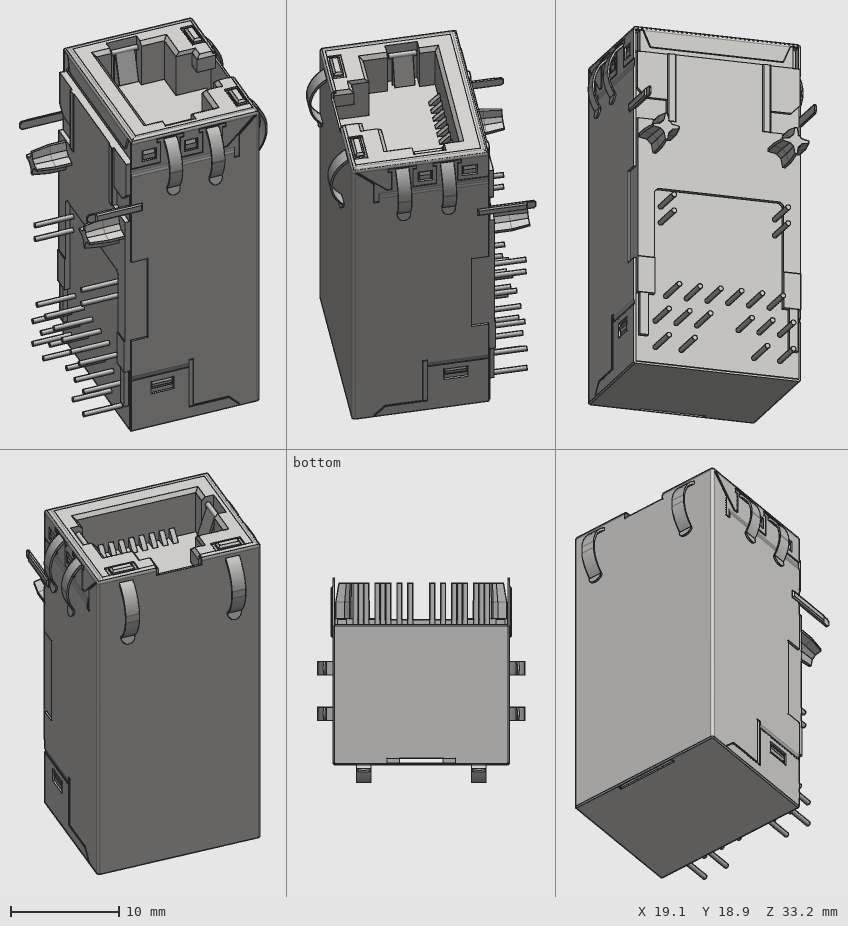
import cadquery as cq
import math


SHIELD_HALF_W = 8.15
SHIELD_DEPTH = 12.85
FACE_Z = 32.95
SHEET = 0.2
RIM_SIDE = 0.65
FACE_BEND = 0.43
RIM_BACK = FACE_BEND
BODY_BEND = 0.25
FLAP_TOP_HALF_W = 7.2
FLAP_LOW_HALF_W = 6.5
FLAP_TOP_Z = 32.57
FLAP_LOW_Z = 30.98
KEY_SLOT_HALF_W = 2.25
KEY_SLOT_Z = 32.05
SEAM_DEPTH = 0.1
SEAM_TOP_Z = 32.45

INNER_HALF_W = SHIELD_HALF_W - SHEET
INNER_BACK = SHIELD_DEPTH - SHEET
FLOOR_Y = -0.13
SLAB_Y = -0.55
RIB_Y = -0.65
LEDGE_Z = 30.3
CAVITY_FLOOR_Z = 28.2
KEY_TAB_LENGTH = 1.82
MOUTH_CHAMFER = 0.35
CHANNEL_Y = 12.25
KEY_HALF_W = 3.15
LATCH_HALF_W = 2.0
PIN_SPAN = 12.17
PITCH = PIN_SPAN / 12
TIP_Y = -3.95

PIPE_X = 5.3
PIPE_W = 2.25
PIPE_Y = 11.78
PIPE_D = 0.93
PIPE_TOP_Z = 33.17
PIPE_LENGTH = 3.32
PIPE_CHAMFER = 0.2


def block(x0, x1, y0, y1, z0, z1):
    """Box given by its limits on each axis."""
    return cq.Workplane("XY").box(x1 - x0, y1 - y0, z1 - z0, centered=False).translate((x0, y0, z0))


def mirrored(shape):
    """Shape together with its mirror image across X = 0."""
    return shape.union(shape.mirror("YZ"))


def side_prism(points, x0, x1):
    """Outline in (Y, Z) extruded along X from x0 to x1."""
    return cq.Workplane("YZ").workplane(offset=x0).polyline(points).close().extrude(x1 - x0)


def front_prism(points, y0, y1):
    """Outline in (X, Z) extruded along Y from y0 to y1."""
    return cq.Workplane("XZ").workplane(offset=-y1).polyline(points).close().extrude(y1 - y0)


CATCH_WINDOWS = [(5.3, 6.65, 30.32, 31.5), (1.05, 2.52, 30.32, 31.5)]
LOW_WINDOW = (1.95, 4.25, 3.78, 5.15)
NOTCH = (0.0, 1.63, 10.28, 19.2)

SIDE_SPRING_YS = (3.9, 8.13)
SIDE_SPRING_W = 1.25
SPRING_TOP_Z = 32.25
BACK_SPRING_W = 1.35
SIDE_REACH = 1.4
BACK_REACH = 1.63


def spring(reach, kink, width, top_z, bend_z, kink_z, tip_z):
    """Bowed contact finger on a wall at x = 0, bulging toward +X and centred on Y = 0.

    It returns to distance kink from the wall, then turns slightly outward to its tip.
    """
    root = -SHEET / 2
    tip = kink + 0.15
    thickness = 0.15
    profile = (
        cq.Workplane("XZ").workplane(offset=-width / 2)
        .moveTo(root, top_z)
        .threePointArc((reach, bend_z), (kink, kink_z))
        .lineTo(tip, tip_z)
        .lineTo(tip - thickness, tip_z)
        .lineTo(kink - thickness, kink_z)
        .threePointArc((reach - thickness, bend_z), (root, top_z - 2 * thickness))
        .close()
        .extrude(width)
    )
    round_r = width / 2
    rounded = (
        cq.Workplane("YZ").workplane(offset=root)
        .moveTo(-round_r, top_z)
        .lineTo(-round_r, tip_z + round_r)
        .threePointArc((0, tip_z), (round_r, tip_z + round_r))
        .lineTo(round_r, top_z)
        .close()
        .extrude(reach - root)
    )
    return profile.intersect(rounded)


def shield_shell():
    shell = block(-SHIELD_HALF_W, SHIELD_HALF_W, 0, SHIELD_DEPTH, 0, FACE_Z)
    shell = shell.faces(">Z").edges().fillet(FACE_BEND)
    shell = shell.faces(">Y").edges("|Z").fillet(BODY_BEND)
    shell = shell.faces("<Z").edges("not <Y").chamfer(BODY_BEND / 2)
    shell = shell.cut(block(-INNER_HALF_W, INNER_HALF_W, SHEET, INNER_BACK, SHEET, FACE_Z - SHEET))
    opening_half_w = SHIELD_HALF_W - RIM_SIDE
    shell = shell.cut(block(-opening_half_w, opening_half_w, RIM_SIDE, SHIELD_DEPTH - RIM_BACK,
                            CAVITY_FLOOR_Z, FACE_Z))
    flap = front_prism([(-FLAP_TOP_HALF_W, FLAP_TOP_Z), (FLAP_TOP_HALF_W, FLAP_TOP_Z),
                        (FLAP_LOW_HALF_W, FLAP_LOW_Z), (-FLAP_LOW_HALF_W, FLAP_LOW_Z)], 0, SHEET)
    shell = shell.cut(block(-INNER_HALF_W, INNER_HALF_W, 0, SHEET, SHEET, FLAP_TOP_Z).cut(flap))
    shell = shell.cut(block(-KEY_SLOT_HALF_W, KEY_SLOT_HALF_W, SHIELD_DEPTH - RIM_SIDE, SHIELD_DEPTH,
                            KEY_SLOT_Z, FACE_Z))
    return shell.cut(block(-KEY_HALF_W, KEY_HALF_W, CHANNEL_Y, INNER_BACK, 0, SHEET))


def side_openings():
    """Windows and notch through the -X side wall."""
    x0, x1 = -SHIELD_HALF_W, -INNER_HALF_W
    cuts = block(x0, x1, *NOTCH)
    for window in (*CATCH_WINDOWS, LOW_WINDOW):
        cuts = cuts.union(block(x0, x1, *window))
    return cuts


def side_seams():
    """Shallow grooves around the folded-over panels on the -X side wall."""
    x0, x1 = -SHIELD_HALF_W, -SHIELD_HALF_W + SEAM_DEPTH
    panel_z, jog_z, band_low = 29.72, 29.35, 28.82
    slot_front, slot_back = 10.3, 10.8
    seams = front_prism([(x0, panel_z), (x1, panel_z), (x1, jog_z),
                         (x1 - 0.03, 29.1), (x0, band_low)], 0, slot_front)
    seams = seams.union(side_prism([(slot_back, 28.3), (slot_back, 30.75), (12.47, SEAM_TOP_Z),
                                    (12.27, SEAM_TOP_Z), (9.6, panel_z), (slot_front, panel_z),
                                    (slot_front, 28.3)], x0, x1))
    slot_half_w = SIDE_SPRING_W / 2 + 0.35
    flare_half_w = slot_half_w + 0.33
    flare_z = 32.0
    for y in SIDE_SPRING_YS:
        seams = seams.union(block(x0, x1, y - slot_half_w, y + slot_half_w, jog_z, SEAM_TOP_Z))
        seams = seams.union(block(x0, x1, y - flare_half_w, y + flare_half_w, flare_z, SEAM_TOP_Z))
    end_front, end_back = 5.77, 6.2
    end_band_low, end_band_high = 5.77, 6.25
    seams = seams.union(front_prism([(x0, end_band_low), (x1, end_band_low), (x1 - 0.03, 6.0),
                                     (x0, end_band_high)], 0, end_front))
    foot_z = 1.25
    seams = seams.union(block(x0, x1, end_front, end_back, foot_z, 6.57))
    thin = 0.1
    corner_y = 9.75
    edge_y, edge_z = 10.78, 0.3
    seams = seams.union(block(x0, x1, end_back, corner_y, foot_z, foot_z + thin))
    return seams.union(side_prism([(corner_y, foot_z), (corner_y, foot_z + thin),
                                   (edge_y, edge_z), (edge_y - thin, edge_z)], x0, x1))


def board_tail():
    """Board lock on the -X wall: thin blade with a thicker bevelled pad."""
    blade_inner = -8.0
    pad_outer = -8.33
    tip_y, pad_tip_y, pad_root_y = -4.4, -3.6, 1.05
    z0, z1 = 24.8, 25.65
    blade = block(-SHIELD_HALF_W, blade_inner, tip_y, 0, z0, z1).edges("<Y and |X").chamfer(0.2)
    pad = block(pad_outer, -SHIELD_HALF_W, pad_tip_y, pad_root_y, z0, z1).faces("<X").edges().chamfer(0.13)
    return blade.union(pad)


def make_shield():
    shield = shield_shell()
    shield = shield.cut(mirrored(side_openings().union(side_seams())))
    shield = shield.union(mirrored(board_tail()))
    side_spring = spring(SIDE_REACH, kink=0.73, width=SIDE_SPRING_W, top_z=SPRING_TOP_Z,
                         bend_z=29.35, kink_z=27.2, tip_z=26.37)
    for y in SIDE_SPRING_YS:
        shield = shield.union(mirrored(side_spring.translate((SHIELD_HALF_W, y, 0))))
    back_spring = spring(BACK_REACH, kink=0.5, width=BACK_SPRING_W, top_z=SPRING_TOP_Z,
                         bend_z=29.42, kink_z=26.35, tip_z=25.57)
    back_spring = back_spring.rotate((0, 0, 0), (0, 0, 1), 90)
    return shield.union(mirrored(back_spring.translate((PIPE_X, SHIELD_DEPTH, 0))))


CAVITY_HALF_W = 5.95
CAVITY_LOW_Y = 2.4
SHOULDER_Y = 9.15
KEY_Y = 10.78


def mouth_outline(grow, step_grow, z):
    """Stepped plug outline at height z; grow widens it all round, step_grow at the key steps."""
    half = [
        (CAVITY_HALF_W + grow, CAVITY_LOW_Y - grow),
        (CAVITY_HALF_W + grow, SHOULDER_Y + grow),
        (KEY_HALF_W + step_grow, SHOULDER_Y + grow),
        (KEY_HALF_W + step_grow, KEY_Y + grow),
        (LATCH_HALF_W + 2 * step_grow, KEY_Y + grow),
        (LATCH_HALF_W + 2 * step_grow, INNER_BACK),
    ]
    points = half + [(-x, y) for x, y in reversed(half)]
    return cq.Wire.makePolygon([cq.Vector(x, y, z) for x, y in points], close=True)


def plug_cavity():
    mouth = mouth_outline(0, 0, FACE_Z)
    chamfer_wires = [mouth_outline(0, 0, FACE_Z - MOUTH_CHAMFER), mouth_outline(MOUTH_CHAMFER, 0.13, FACE_Z)]
    depth = FACE_Z - CAVITY_FLOOR_Z
    cavity = cq.Workplane(cq.Solid.extrudeLinear(mouth, [], cq.Vector(0, 0, -depth)))
    cavity = cavity.union(cq.Workplane(cq.Solid.makeLoft(chamfer_wires, True)))
    return cavity.union(block(-KEY_HALF_W, KEY_HALF_W, SHOULDER_Y, INNER_BACK,
                              CAVITY_FLOOR_Z, FACE_Z - KEY_TAB_LENGTH))


def latch_slot():
    """Pocket in the -X cavity wall around the inner spring."""
    slot_outer_x = -7.13
    low_y, high_y = 3.85, 6.85
    return block(slot_outer_x, -CAVITY_HALF_W, low_y, high_y, CAVITY_FLOOR_Z, FACE_Z)


def inner_spring():
    """Folded finger standing on the -X pocket floor and leaning into the cavity."""
    leg_x, tip_x = -6.75, -5.25
    fold_r = 0.25
    fold_z = 32.17
    tip_z = 29.2
    thickness = 0.15
    y0, y1 = 4.4, 6.3
    wing = 0.35
    fold_x = leg_x + fold_r
    finger = block(leg_x, leg_x + thickness, y0, y1, CAVITY_FLOOR_Z, fold_z)
    finger = finger.union(front_prism([(fold_x, fold_z), (fold_x + fold_r, fold_z),
                                       (tip_x, tip_z), (tip_x - thickness, tip_z)], y0, y1))
    fold = cq.Workplane("XZ").center(fold_x, fold_z).circle(fold_r).extrude(y1 - y0 + 2 * wing)
    return finger.union(fold.translate((0, y1 + wing, 0)))


def contacts():
    """Eight sloped contact ends against the board-side cavity wall."""
    width, rise = 0.5, 1.03
    wedge = side_prism([(CAVITY_LOW_Y, CAVITY_FLOOR_Z), (CAVITY_LOW_Y + rise, CAVITY_FLOOR_Z),
                        (CAVITY_LOW_Y, CAVITY_FLOOR_Z + rise)], -width / 2, width / 2)
    count = 8
    row = cq.Workplane("XY")
    for i in range(count):
        row = row.add(wedge.translate(((i - (count - 1) / 2) * PITCH, 0, 0)))
    return row.combine()


def board_side_slab():
    """Stepped board side of the housing."""
    recess_half_w, recess_top_z = 6.3, 17.08
    pad_low_z, pad_high_z = 6.8, NOTCH[2]
    pocket_low_z = 23.75
    rib_inner, rib_outer = 4.25, 5.05
    slab = block(-INNER_HALF_W, INNER_HALF_W, SLAB_Y, SHEET, pad_low_z, LEDGE_Z)
    recess = block(-recess_half_w, recess_half_w, SLAB_Y, FLOOR_Y, pad_low_z, recess_top_z)
    slab = slab.cut(recess.edges(">Z and |Y").chamfer(0.33))
    slab = slab.union(block(-INNER_HALF_W, INNER_HALF_W, FLOOR_Y, SHEET, SHEET, pad_low_z))
    slab = slab.cut(mirrored(block(-INNER_HALF_W, -rib_outer, SLAB_Y, FLOOR_Y, pocket_low_z, LEDGE_Z)))
    pad_y, pad_z, corner = -0.45, 25.87, 0.85
    pad = front_prism([(-INNER_HALF_W, LEDGE_Z), (-rib_outer, LEDGE_Z), (-rib_outer, pad_z),
                       (-INNER_HALF_W + corner, pad_z), (-INNER_HALF_W, pad_z + corner)], pad_y, FLOOR_Y)
    rib = block(-rib_outer, -rib_inner, RIB_Y, SLAB_Y, pocket_low_z, LEDGE_Z).edges("<Y and |Z").chamfer(0.083)
    side_pad = block(-INNER_HALF_W, -recess_half_w, RIB_Y, SLAB_Y, pad_low_z, pad_high_z)
    strip_outer, strip_inner, strip_low_z = 7.73, 6.9, 2.72
    low_strip = block(-strip_outer, -strip_inner, SLAB_Y, FLOOR_Y, strip_low_z, pad_low_z)
    for feature in (pad, rib, side_pad, low_strip):
        slab = slab.union(mirrored(feature))
    return slab


PEG_X = 6.35
PEG_Z = 22.02


def star_wire(scale, y):
    """Four-pointed star with blunt points and three flats between neighbours, at depth y."""
    tip, blunt = 4.7 * scale, 0.4 * scale
    waist_far, waist_near = 2.2 * scale, 0.9 * scale
    corner = [(tip, blunt), (waist_far, waist_near), (waist_near, waist_far), (blunt, tip)]
    points = []
    for quarter in range(4):
        c, s = math.cos(quarter * math.pi / 2), math.sin(quarter * math.pi / 2)
        points += [cq.Vector(u * c - v * s, y, u * s + v * c) for u, v in corner]
    return cq.Wire.makePolygon(points, close=True)


def peg():
    """Star-section locating peg, tapered over its outer half."""
    taper_y = -2.2
    end_scale = 0.27
    base = cq.Workplane(cq.Solid.extrudeLinear(star_wire(0.33, SLAB_Y), [], cq.Vector(0, taper_y - SLAB_Y, 0)))
    end = cq.Solid.makeLoft([star_wire(0.33, taper_y), star_wire(end_scale, TIP_Y)], True)
    return base.union(cq.Workplane(end)).translate((-PEG_X, 0, PEG_Z))


PIN_DIAMETER = 0.45
PIN_ROWS = [
    (15.45, (5.5,)),
    (13.9, (5.5,)),
    (6.8, (1, 3, 5)),
    (4.28, (2, 4, 6)),
    (1.72, (3.5, 6)),
]


def pins():
    spots = []
    for z, steps in PIN_ROWS:
        for step in steps:
            spots += [(step * PITCH, z), (-step * PITCH, z)]
    return (cq.Workplane("XZ").workplane(offset=-FLOOR_Y).pushPoints(spots)
            .circle(PIN_DIAMETER / 2).extrude(FLOOR_Y - TIP_Y))


def catch(window, heights, low_depth):
    """Snap catch in a window of the -X side wall.

    heights are its top, the two ends of its flat crest, and its bottom;
    low_depth is how far it still stands out at the bottom.
    """
    margin, rise = 0.13, 0.13
    y0, y1 = window[:2]
    top, crest_high, crest_low, bottom = heights
    profile = [(-INNER_HALF_W, top), (-INNER_HALF_W - rise, crest_high), (-INNER_HALF_W - rise, crest_low),
               (-INNER_HALF_W - low_depth, bottom), (-INNER_HALF_W + margin, bottom),
               (-INNER_HALF_W + margin, top)]
    return front_prism(profile, y0 + margin, y1 - margin)


def catches():
    snaps = catch(LOW_WINDOW, (5.1, 4.78, 4.5, 4.2), 0.0)
    for window in CATCH_WINDOWS:
        snaps = snaps.union(catch(window, (31.38, 30.98, 30.65, 30.45), 0.13))
    return snaps


def pipe_recess():
    """Shallow rebate in the front face around the light pipe on the -X side."""
    half_w = PIPE_W / 2 + 0.33
    low_y, depth = 11.1, 0.15
    return block(-PIPE_X - half_w, -PIPE_X + half_w, low_y, SHIELD_DEPTH - RIM_BACK, FACE_Z - depth, FACE_Z)


def corner_notch():
    """Relief beside the shield flap at the -X board-side corner."""
    inner_x, depth_y, low_z, high_z = -7.5, 0.9, 30.48, 32.5
    return block(-INNER_HALF_W, inner_x, SHEET, depth_y, low_z, high_z)


def make_housing():
    housing = block(-INNER_HALF_W, INNER_HALF_W, SHEET, INNER_BACK, SHEET, FACE_Z - SHEET)
    opening_half_w = SHIELD_HALF_W - RIM_SIDE
    housing = housing.union(block(-opening_half_w, opening_half_w, RIM_SIDE, SHIELD_DEPTH - RIM_BACK,
                                  FACE_Z - SHEET, FACE_Z))
    housing = housing.cut(plug_cavity())
    housing = housing.cut(block(-KEY_HALF_W, KEY_HALF_W, CHANNEL_Y, INNER_BACK, SHEET, CAVITY_FLOOR_Z))
    housing = housing.cut(mirrored(latch_slot().union(pipe_recess())))
    housing = housing.cut(mirrored(corner_notch()))
    housing = housing.union(contacts())
    housing = housing.union(board_side_slab())
    for feature in (inner_spring(), peg(), catches()):
        housing = housing.union(mirrored(feature))
    return housing.union(pins())


def make_light_pipe(x):
    pipe = block(x - PIPE_W / 2, x + PIPE_W / 2, PIPE_Y - PIPE_D / 2, PIPE_Y + PIPE_D / 2,
                 PIPE_TOP_Z - PIPE_LENGTH, PIPE_TOP_Z)
    return pipe.faces(">Z").edges().chamfer(PIPE_CHAMFER)


shield = make_shield()
housing = make_housing()
light_pipes = []
for pipe_x in (-PIPE_X, PIPE_X):
    light_pipe = make_light_pipe(pipe_x)
    housing = housing.cut(light_pipe)
    light_pipes.append(light_pipe.val())

result = cq.Compound.makeCompound([shield.val(), housing.val(), *light_pipes])